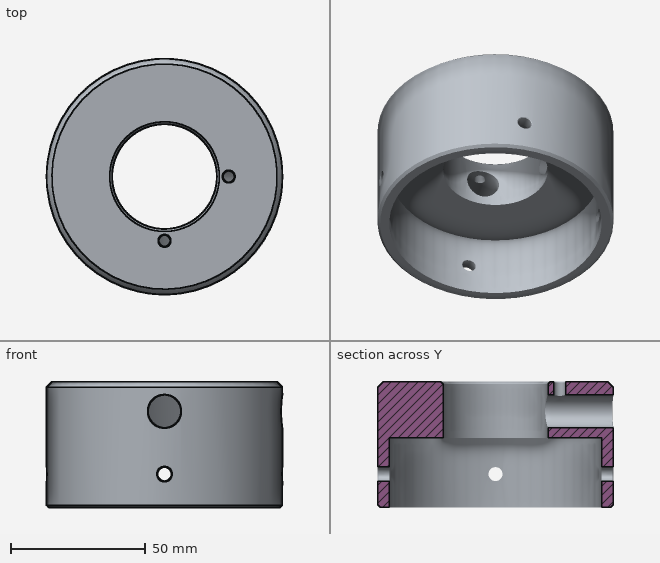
import cadquery as cq

outer_diameter = 88.0
height = 47.0
top_chamfer = 2.0
bottom_chamfer = 1.0
seam_angle = 45

bore_diameter = 39.0
bore_chamfer = 1.0
recess_diameter = 79.2
recess_depth = 26.05

port_diameter = 12.2
port_height = height - 11.1
pin_hole_diameter = 4.2
pin_hole_offset = 23.9

cross_hole_diameter = 5.2
cross_hole_height = 12.5

port_rim_chamfer = 0.2
small_rim_chamfer = 0.3

outer_radius = outer_diameter / 2


def make_body():
    body = cq.Workplane("XY").circle(outer_radius).extrude(height)
    body = body.rotate((0, 0, 0), (0, 0, 1), seam_angle)
    body = body.faces(">Z").edges().chamfer(top_chamfer)
    return body.faces("<Z").edges().chamfer(bottom_chamfer)


def make_bore():
    bore = cq.Workplane("XY").circle(bore_diameter / 2).extrude(height)
    recess = cq.Workplane("XY").circle(recess_diameter / 2).extrude(recess_depth)
    mouth = cq.Workplane(
        cq.Solid.makeCone(
            bore_diameter / 2,
            bore_diameter / 2 + bore_chamfer,
            bore_chamfer,
            pnt=cq.Vector(0, 0, height - bore_chamfer),
        )
    )
    return bore.union(recess).union(mouth)


def drill(body, diameter, start, direction, depth, rim_chamfer):
    """Drill from an inner start point out through the surface and chamfer the rim."""
    hole = cq.Solid.makeCylinder(diameter / 2, 2 * depth, start, direction)
    mouth = start + direction * depth
    drilled = body.cut(cq.Workplane(hole))
    return drilled.edges(cq.selectors.NearestToPointSelector(mouth.toTuple())).chamfer(rim_chamfer)


plus_x = cq.Vector(1, 0, 0)
minus_x = cq.Vector(-1, 0, 0)
plus_y = cq.Vector(0, 1, 0)
minus_y = cq.Vector(0, -1, 0)
plus_z = cq.Vector(0, 0, 1)

result = make_body()

for direction in (plus_x, minus_y):
    port_start = plus_z * port_height
    result = drill(result, port_diameter, port_start, direction, outer_radius, port_rim_chamfer)
    pin_start = port_start + direction * pin_hole_offset
    result = drill(result, pin_hole_diameter, pin_start, plus_z, height - port_height, small_rim_chamfer)

for direction in (plus_x, minus_x, plus_y, minus_y):
    cross_start = plus_z * cross_hole_height
    result = drill(result, cross_hole_diameter, cross_start, direction, outer_radius, small_rim_chamfer)

result = result.cut(make_bore())